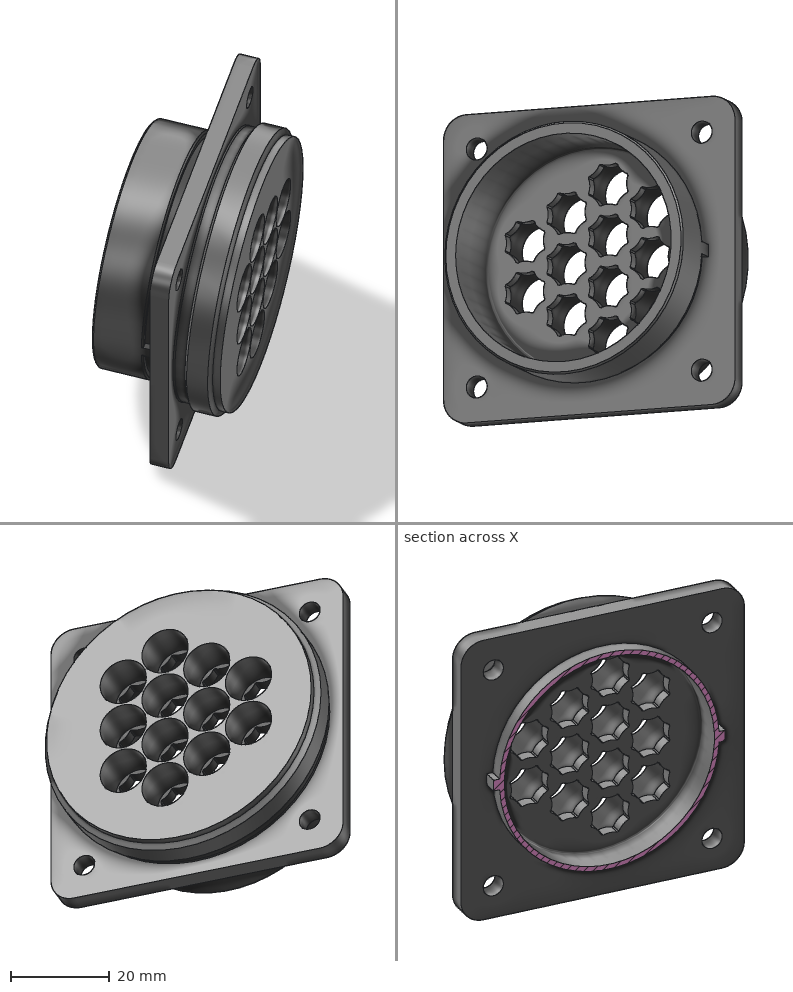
import cadquery as cq
import math

LENGTH = 28.0
SHELL_END = 10.85
FLANGE_FRONT = 14.05
FLANGE_THICKNESS = 4.0
FLANGE_BACK = FLANGE_FRONT + FLANGE_THICKNESS
COLLAR_START = 20.6
COLLAR_END = 26.4
INSERT_FRONT = 16.8

SHELL_RADIUS = 52.0 / 2
SHELL_CHAMFER = 0.4
SHELL_BORE_RADIUS = 47 / 2
BORE_FILLET = 0.5
NECK_RADIUS = 49.35 / 2
REAR_RADIUS = 57.5 / 2
REAR_TAPER_LENGTH = 0.4
REAR_TAPER_RISE = 0.1
COLLAR_RADIUS = 60.0 / 2
COLLAR_CHAMFER_LENGTH = 0.7

FLANGE_SIDE = 63.5
FLANGE_CORNER_RADIUS = 5.0
MOUNTING_HOLE_DIAMETER = 4.5
MOUNTING_HOLE_SPACING = 49.0

KEY_WIDTH = 2.55

CAVITY_PITCH = 10.5
COLUMN_PITCH = CAVITY_PITCH * math.cos(math.radians(30))
CAVITIES_PER_COLUMN = [3, 4, 3, 2]
FIRST_COLUMN_OFFSET = -4 / 3
MOUTH_DEPTH = 2.55
MOUTH_TIP_RADIUS = 4.6
MOUTH_WAIST_RADIUS = 4.0
MOUTH_TIP_WIDTH = 0.4
SCALLOPS = 8
CAVITY_DIAMETER = 10.05


def turned_body():
    """Shell, neck, rear barrel (flared at the flange) and its chamfered collar, with the front bore."""
    outline = [
        (0, 0),
        (0, SHELL_RADIUS - SHELL_CHAMFER),
        (SHELL_CHAMFER, SHELL_RADIUS),
        (SHELL_END - SHELL_CHAMFER, SHELL_RADIUS),
        (SHELL_END, SHELL_RADIUS - SHELL_CHAMFER),
        (SHELL_END, NECK_RADIUS),
        (FLANGE_BACK, NECK_RADIUS),
        (FLANGE_BACK, REAR_RADIUS + REAR_TAPER_RISE),
        (FLANGE_BACK + REAR_TAPER_LENGTH, REAR_RADIUS),
        (COLLAR_START, REAR_RADIUS),
        (COLLAR_START + COLLAR_CHAMFER_LENGTH, COLLAR_RADIUS),
        (COLLAR_END - COLLAR_CHAMFER_LENGTH, COLLAR_RADIUS),
        (COLLAR_END, REAR_RADIUS),
        (LENGTH, REAR_RADIUS),
        (LENGTH, 0),
    ]
    solid = cq.Workplane("XY").polyline(outline).close().revolve(360, (0, 0, 0), (1, 0, 0))
    bore = (
        cq.Workplane("YZ")
        .circle(SHELL_BORE_RADIUS)
        .extrude(INSERT_FRONT)
        .faces(">X")
        .edges()
        .fillet(BORE_FILLET)
    )
    return solid.cut(bore)


def flange():
    """Rounded square plate with a mounting hole in each corner."""
    return (
        cq.Workplane("YZ", origin=(FLANGE_FRONT, 0, 0))
        .rect(FLANGE_SIDE, FLANGE_SIDE)
        .extrude(FLANGE_THICKNESS)
        .edges("|X")
        .fillet(FLANGE_CORNER_RADIUS)
        .faces("<X")
        .workplane(centerOption="CenterOfBoundBox")
        .rect(MOUNTING_HOLE_SPACING, MOUNTING_HOLE_SPACING, forConstruction=True)
        .vertices()
        .hole(MOUNTING_HOLE_DIAMETER)
    )


def keys():
    """Two opposite bars across the neck, flush with the shell's outside."""
    start = SHELL_END - SHELL_CHAMFER
    length = FLANGE_FRONT - start
    ring = (
        cq.Workplane("YZ", origin=(start, 0, 0))
        .circle(SHELL_RADIUS)
        .circle(SHELL_BORE_RADIUS)
        .extrude(length)
    )
    bar = cq.Workplane("YZ", origin=(start, 0, 0)).rect(2 * SHELL_RADIUS, KEY_WIDTH).extrude(length)
    return ring.intersect(bar)


def cavity_centres():
    """(y, z) of every cavity; each column is centred on z = 0."""
    first_column_y = FIRST_COLUMN_OFFSET * COLUMN_PITCH
    return [
        (first_column_y + column * COLUMN_PITCH, (row - (count - 1) / 2) * CAVITY_PITCH)
        for column, count in enumerate(CAVITIES_PER_COLUMN)
        for row in range(count)
    ]


def polar(radius, angle):
    return (radius * math.cos(angle), radius * math.sin(angle))


def cavity():
    """One cavity cutter on the axis; its mouth is a ring of inward-bulging arcs joined by short flats."""
    step = 2 * math.pi / SCALLOPS
    half_arc = step / 2 - MOUTH_TIP_WIDTH / 2 / MOUTH_TIP_RADIUS
    mouth = cq.Workplane("YZ", origin=(INSERT_FRONT, 0, 0)).moveTo(*polar(MOUTH_TIP_RADIUS, -half_arc))
    for i in range(SCALLOPS):
        middle = polar(MOUTH_WAIST_RADIUS, i * step)
        arc_end = polar(MOUTH_TIP_RADIUS, i * step + half_arc)
        mouth = mouth.threePointArc(middle, arc_end)
        if i < SCALLOPS - 1:
            mouth = mouth.lineTo(*polar(MOUTH_TIP_RADIUS, (i + 1) * step - half_arc))
    mouth = mouth.close().extrude(MOUTH_DEPTH)
    bore_start = INSERT_FRONT + MOUTH_DEPTH
    bore = (
        cq.Workplane("YZ", origin=(bore_start, 0, 0))
        .circle(CAVITY_DIAMETER / 2)
        .extrude(LENGTH - bore_start)
    )
    return mouth.union(bore)


plate = flange().cut(
    cq.Workplane("YZ", origin=(FLANGE_FRONT, 0, 0)).circle(NECK_RADIUS).extrude(FLANGE_THICKNESS)
)
result = turned_body().union(plate).union(keys())
cutter = cavity()
for y, z in cavity_centres():
    result = result.cut(cutter.translate((0, y, z)))